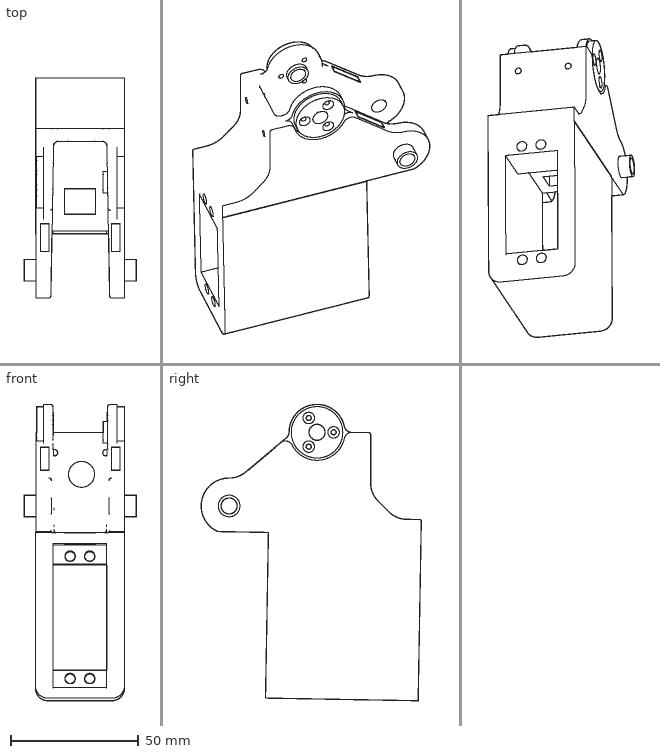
import cadquery as cq
import math

tilt = 1.0
front_y = -19.13
front_z = -39.34
box_left = -17.65
box_right = 17.4
box_depth = 60.0
box_height = 65.0
box_corner_radius = 5.0
box_center_x = (box_left + box_right) / 2

pocket_width = 21.0
pocket_height = 56.6
pocket_depth = 40.0
window_height = 41.6
screw_hole_diameter = 4.0
screw_spacing_x = 7.7
screw_spacing_z = 48.0
cable_slot_width = 12.2
cable_slot_length = 10.0
cable_slot_front = 6.6

plate_half_width = 17.4
core_half_width = 14.5
cavity_half_width = 10.7
cavity_draft = 1.0
hub_radius = 11.0
hub_blend_radius = 3.0
ramp_angle = 40.0
ramp_offset = 6.1
ramp_blend_radius = 10.0
pin_y = -34.5
pin_z = -28.9
lobe_radius = 11.0

web_back_y = 21.1
web_thickness = 5.0
web_bend_z = -24.1
web_slope = 45.0
web_bend_radius = 10.0
tail_thickness = 6.2
rear_edge_radius = 1.0
tail_edge_radius = 0.7
cavity_corner_radius = 2.0
cavity_floor_radius = 1.2
floor_corner_reach = 3.0
rim_radius = 1.0

bore_diameter = 6.2
disc_radius = 10.1
disc_left_end = -17.1
disc_right_end = plate_half_width
collar_diameter = 8.5
collar_inner_x = 8.95
pin_diameter = 8.5
pin_half_span = 22.0
hub_screw_circle_radius = 6.5
hub_screw_diameter = 1.9
hub_screw_head_diameter = 4.5
hub_screw_angles = (60, 180, 300)
web_hole_diameter = 2.4
web_hole_x = 10.1
web_hole_z = -8.0
web_hole_start_y = 13.5
web_recess_diameter = 10.2
web_recess_depth = 0.2
web_recess_x = 0.5
web_recess_z = -16.5
edge_slot_width = 3.3
edge_slot_length = 14.2
edge_slot_depth = 0.2
edge_slot_x = 14.0
edge_slot_center = 23.3

reach = 80.0

ramp_cos = math.cos(math.radians(ramp_angle))
ramp_sin = math.sin(math.radians(ramp_angle))


def tilted(depth, height):
    """(Y, Z) of a point given in the box frame."""
    cosine = math.cos(math.radians(tilt))
    sine = math.sin(math.radians(tilt))
    y = front_y + depth * cosine + height * sine
    z = front_z - depth * sine + height * cosine
    return (y, z)


def on_ramp(distance, lift=0.0):
    """(Y, Z) of a point on the ramp, measured down the slope from the foot of the hub axis."""
    offset = ramp_offset + lift
    return (-offset * ramp_sin - distance * ramp_cos, offset * ramp_cos - distance * ramp_sin)


def slope_meets_tilted_line(start, height):
    """(Y, Z) where the web slope through start meets a line of the box frame at that height."""
    slope = math.tan(math.radians(web_slope))
    line_slope = math.tan(math.radians(tilt))
    line_y, line_z = tilted(0, height)
    run = (start[1] - line_z + line_slope * (start[0] - line_y)) / (slope - line_slope)
    return (start[0] + run, start[1] - slope * run)


def x_cylinder(center, radius, x_start, x_end):
    """Cylinder along X around a (Y, Z) centre."""
    plane = cq.Workplane("YZ", origin=(x_start, 0, 0))
    return plane.center(*center).circle(radius).extrude(x_end - x_start)


def x_prism(points, x_start, x_end):
    """Prism along X with a (Y, Z) outline."""
    return cq.Workplane("YZ", origin=(x_start, 0, 0)).polyline(points).close().extrude(x_end - x_start)


def round_x_edge(body, point, radius):
    """Round the edge parallel to X that is nearest to a (Y, Z) point."""
    middle_x = body.val().Center().x
    nearest = cq.NearestToPointSelector((middle_x, point[0], point[1]))
    return body.edges("|X").edges(nearest).fillet(radius)


hub_center = (0, 0)
pin_center = (pin_y, pin_z)
outer_bend = (web_back_y, web_bend_z)
outer_tail_bend = slope_meets_tilted_line(outer_bend, tail_thickness)
hub_rear_corner = (hub_radius, 0)
hub_ramp_corner = on_ramp(math.sqrt(hub_radius**2 - ramp_offset**2))


def side_profile(x_start, x_end):
    """Bracket silhouette without the hub: tail, web, ramp and pin lobe."""
    lobe_along = -pin_y * ramp_cos - pin_z * ramp_sin
    outline = [
        tilted(box_depth, 0),
        tilted(box_depth, tail_thickness),
        outer_tail_bend,
        outer_bend,
        (web_back_y, 0),
        hub_center,
        on_ramp(0),
        on_ramp(lobe_along),
        pin_center,
        tilted(pin_y - front_y, 0),
    ]
    body = x_prism(outline, x_start, x_end)
    body = body.union(x_cylinder(pin_center, lobe_radius, x_start, x_end))
    below = [tilted(-reach, 0), tilted(reach, 0), tilted(reach, -reach), tilted(-reach, -reach)]
    body = body.cut(x_prism(below, x_start, x_end))
    lobe_drop = ramp_offset + (pin_y * ramp_sin - pin_z * ramp_cos)
    lobe_corner = on_ramp(lobe_along - math.sqrt(lobe_radius**2 - lobe_drop**2))
    body = round_x_edge(body, lobe_corner, ramp_blend_radius)
    body = round_x_edge(body, (web_back_y, 0), rear_edge_radius)
    body = round_x_edge(body, tilted(box_depth, tail_thickness), tail_edge_radius)
    body = round_x_edge(body, outer_bend, web_bend_radius)
    return round_x_edge(body, outer_tail_bend, web_bend_radius)


def make_core():
    """Middle layer of the bracket, with the hub blended into it."""
    core = side_profile(-core_half_width, core_half_width)
    core = core.union(x_cylinder(hub_center, hub_radius, -core_half_width, core_half_width))
    core = round_x_edge(core, hub_rear_corner, hub_blend_radius)
    return round_x_edge(core, hub_ramp_corner, hub_blend_radius)


def make_skin(x_start, x_end):
    """Outer layer of one side plate, cleared around the hub."""
    skin = side_profile(x_start, x_end)
    skin = skin.cut(x_cylinder(hub_center, hub_radius, x_start, x_end))
    skin = round_x_edge(skin, hub_rear_corner, hub_blend_radius)
    return round_x_edge(skin, hub_ramp_corner, hub_blend_radius)


def make_cavity():
    """Space between the plates: drafted sides, and a rear face following the web."""
    front_face_y = web_back_y - web_thickness
    half_slope = math.radians(web_slope / 2)
    bend = (front_face_y, web_bend_z - web_thickness * math.tan(half_slope))
    floor_end = slope_meets_tilted_line(bend, 0)
    outline = [
        (front_face_y, reach),
        bend,
        floor_end,
        tilted(-reach, 0),
        (tilted(-reach, 0)[0], reach),
    ]
    block = x_prism(outline, -plate_half_width, plate_half_width)
    block = round_x_edge(block, bend, web_bend_radius)
    draft = math.tan(math.radians(cavity_draft))
    wide = cavity_half_width + reach * draft
    narrow = cavity_half_width - reach * draft
    wedge_outline = [(-wide, -reach), (wide, -reach), (narrow, reach), (-narrow, reach)]
    wedge = cq.Workplane("XY", origin=(0, 0, -reach)).polyline(wedge_outline).close().extrude(3 * reach)
    plain = block.intersect(wedge)
    rounded = round_x_edge(plain, floor_end, cavity_floor_radius)
    rear = cq.selectors.BoxSelector(
        (-plate_half_width, front_face_y - 1, -reach), (plate_half_width, reach, reach)
    )
    rounded = rounded.edges(rear).edges("not |X").fillet(cavity_corner_radius)
    sharp_y = floor_end[0] - 2 * floor_corner_reach
    sharp_z = front_z + floor_corner_reach
    sharp = [(-reach, -reach), (sharp_y, -reach), (sharp_y, sharp_z), (-reach, sharp_z)]
    return rounded.union(plain.intersect(x_prism(sharp, -plate_half_width, plate_half_width)))


def round_inner_rim(body):
    """Round the upper inner edge running over both plates and the web."""

    def on_rim(edge):
        center = edge.Center()
        ends = (edge.startPoint(), edge.endPoint())
        inside = all(abs(end.x) < core_half_width - 1 for end in ends)
        above_floor = center.z > front_z + 2
        return inside and above_floor and (center.y < web_hole_start_y - 1 or center.z > -0.1)

    rim = [edge for edge in body.edges().vals() if on_rim(edge)]
    return body.newObject(rim).fillet(rim_radius)


def make_box():
    """Tilted servo box with pocket, window, screw holes and cable slot."""
    middle_z = -box_height / 2
    box = cq.Workplane("XY").box(
        box_right - box_left, box_depth, box_height, centered=(True, False, False)
    )
    box = box.translate((0, 0, -box_height))
    box = box.edges("|Y and <Z").fillet(box_corner_radius)
    pocket = cq.Workplane("XY").box(pocket_width, pocket_depth, pocket_height, centered=(True, False, True))
    window = cq.Workplane("XY").box(pocket_width, box_depth, window_height, centered=(True, False, True))
    screws = (
        cq.Workplane("XZ")
        .rarray(screw_spacing_x, screw_spacing_z, 2, 2)
        .circle(screw_hole_diameter / 2)
        .extrude(-box_depth)
    )
    box = box.cut(pocket.union(window).union(screws).translate((0, 0, middle_z)))
    slot = cq.Workplane("XY").box(
        cable_slot_width, cable_slot_length, box_height / 2, centered=(True, False, False)
    )
    box = box.cut(slot.translate((0, cable_slot_front, middle_z)))
    box = box.rotate((0, 0, 0), (1, 0, 0), -tilt)
    return box.translate((box_center_x, front_y, front_z))


def cut_edge_slots(body):
    """Shallow slot in the ramp edge of each plate."""
    first = edge_slot_center - edge_slot_length / 2
    last = edge_slot_center + edge_slot_length / 2
    outline = [
        on_ramp(first, -edge_slot_depth),
        on_ramp(last, -edge_slot_depth),
        on_ramp(last, edge_slot_depth),
        on_ramp(first, edge_slot_depth),
    ]
    for x in (-edge_slot_x, edge_slot_x):
        body = body.cut(x_prism(outline, x - edge_slot_width / 2, x + edge_slot_width / 2))
    return body


def cut_web_holes(body):
    """Two small holes beside the plates and a round recess in the web's front face."""
    for x in (-web_hole_x, web_hole_x):
        plane = cq.Workplane("XZ", origin=(x, web_hole_start_y, web_hole_z))
        body = body.cut(plane.circle(web_hole_diameter / 2).extrude(-web_back_y))
    recess_bottom_y = web_back_y - web_thickness + web_recess_depth
    plane = cq.Workplane("XZ", origin=(web_recess_x, recess_bottom_y, web_recess_z))
    return body.cut(plane.circle(web_recess_diameter / 2).extrude(2 * web_recess_depth))


def add_hubs_and_pins(body):
    """Hub discs, the collar inside the right plate and the outward pins."""
    body = body.union(x_cylinder(hub_center, disc_radius, disc_left_end, -cavity_half_width - 1))
    body = body.union(x_cylinder(hub_center, disc_radius, cavity_half_width + 1, disc_right_end))
    body = body.union(x_cylinder(hub_center, collar_diameter / 2, collar_inner_x, core_half_width))
    body = body.union(x_cylinder(pin_center, pin_diameter / 2, -pin_half_span, -core_half_width))
    return body.union(x_cylinder(pin_center, pin_diameter / 2, core_half_width, pin_half_span))


def hub_screw_cutter(center, face_x):
    """Through hole with a conical head seat opening at face_x."""
    side = math.copysign(1, face_x)
    seat_depth = (hub_screw_head_diameter - hub_screw_diameter) / 2
    hole = x_cylinder(center, hub_screw_diameter / 2, 0, face_x)
    seat = cq.Solid.makeCone(
        hub_screw_head_diameter / 2,
        hub_screw_diameter / 2,
        seat_depth,
        pnt=cq.Vector(face_x, center[0], center[1]),
        dir=cq.Vector(-side, 0, 0),
    )
    return hole.union(cq.Workplane(seat))


def cut_bores(body):
    """Hub and pin bores through both plates, and the hub screw holes."""
    for center in (hub_center, pin_center):
        body = body.cut(x_cylinder(center, bore_diameter / 2, -pin_half_span, pin_half_span))
    for angle in hub_screw_angles:
        y = -hub_screw_circle_radius * math.cos(math.radians(angle))
        z = hub_screw_circle_radius * math.sin(math.radians(angle))
        for face_x in (disc_left_end, disc_right_end):
            body = body.cut(hub_screw_cutter((y, z), face_x))
    return body


bracket = make_core()
bracket = bracket.union(make_skin(-plate_half_width, -core_half_width))
bracket = bracket.union(make_skin(core_half_width, plate_half_width))
bracket = bracket.cut(make_cavity())
bracket = round_inner_rim(bracket)
bracket = cut_web_holes(bracket)
bracket = cut_edge_slots(bracket)
bracket = bracket.union(make_box())
bracket = add_hubs_and_pins(bracket)
result = cut_bores(bracket)